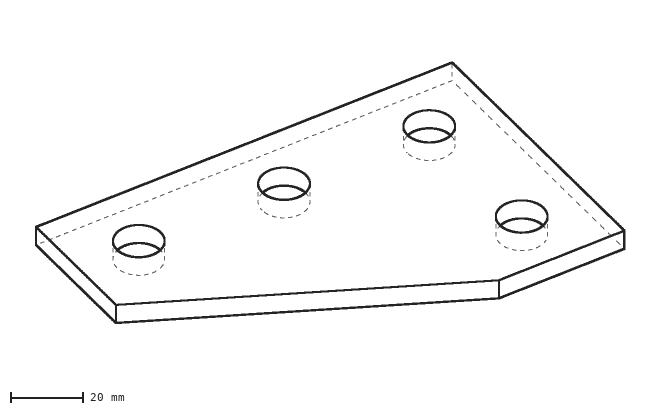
import cadquery as cq

hole_pitch = 47.6
edge_distance = 20.6
hole_diameter = 14.3
thickness = 6.4

arm_width = 2 * edge_distance
plate_width = hole_pitch + arm_width
plate_length = 2 * hole_pitch + arm_width

column_holes = [(edge_distance, edge_distance + row * hole_pitch) for row in range(3)]
side_hole = (edge_distance + hole_pitch, plate_length - edge_distance)


def plate():
    """Flat plate with its lower-right corner cut away between the two arms."""
    outline = [
        (0, 0),
        (arm_width, 0),
        (plate_width, plate_length - arm_width),
        (plate_width, plate_length),
        (0, plate_length),
    ]
    return cq.Workplane("XY").polyline(outline).close().extrude(thickness)


def bolt_holes():
    """Cylinders that cut the through holes."""
    return (
        cq.Workplane("XY")
        .pushPoints(column_holes + [side_hole])
        .circle(hole_diameter / 2)
        .extrude(thickness)
    )


result = plate().cut(bolt_holes())